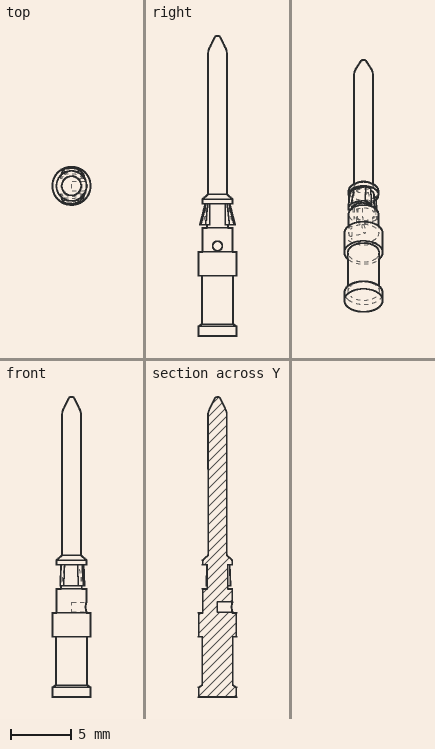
import cadquery as cq

foot_rim_top = 0.8
foot_cone_top = 1.0
collar_bottom = 5.0
collar_top = 7.0
body_top = 9.0
barb_bottom = 9.25
ring_bottom = 11.0
ring_rim_top = 11.4
ring_cone_top = 11.8
nose_bottom = 23.72
nose_top = 24.8
overall_height = 25.0

collar_radius = 1.6
sleeve_radius = 1.3
body_radius = 1.25
neck_radius = 0.88
pin_radius = 0.8
nose_tip_radius = 0.28
nose_blend_radius = 1.0

pick_margin = 0.02

hole_diameter = 0.8
hole_height = 7.5

slot_half_width = 0.65
barb_inner_shift = 0.35
barb_root_outline = [
    (-0.88, slot_half_width), (-0.68, 0.88), (-0.58, 0.98), (-0.42, 1.0), (0.18, 1.02),
    (0.5, 0.95), (0.88, 0.8), (1.02, slot_half_width),
]
barb_end_outline = [
    (-0.95, slot_half_width), (-0.78, 1.18), (-0.65, 1.38), (-0.5, 1.42), (0.12, 1.48),
    (0.58, 1.38), (1.0, 1.0), (1.1, slot_half_width),
]


def make_turned_body():
    """Revolve the stepped contact, with a domed tip and a blended nose."""
    dome_height = overall_height - nose_top
    dome_radius = (nose_tip_radius**2 + dome_height**2) / (2 * dome_height)
    profile = (
        cq.Workplane("XZ")
        .moveTo(0, 0)
        .lineTo(collar_radius, 0)
        .lineTo(collar_radius, foot_rim_top)
        .lineTo(sleeve_radius, foot_cone_top)
        .lineTo(sleeve_radius, collar_bottom)
        .lineTo(collar_radius, collar_bottom)
        .lineTo(collar_radius, collar_top)
        .lineTo(body_radius, collar_top)
        .lineTo(body_radius, body_top)
        .lineTo(neck_radius, body_top)
        .lineTo(neck_radius, ring_bottom)
        .lineTo(body_radius, ring_bottom)
        .lineTo(body_radius, ring_rim_top)
        .lineTo(pin_radius, ring_cone_top)
        .lineTo(pin_radius, nose_bottom)
        .lineTo(nose_tip_radius, nose_top)
        .radiusArc((0, overall_height), -dome_radius)
        .close()
    )
    turned = profile.revolve(360, (0, 0), (0, 1))
    nose_zone = cq.selectors.BoxSelector(
        (-collar_radius, -collar_radius, nose_bottom - pick_margin),
        (collar_radius, collar_radius, nose_bottom + pick_margin),
    )
    return turned.edges(nose_zone).edges("%CIRCLE").fillet(nose_blend_radius)


def make_barb():
    """Loft the flared, faceted barb on the +Y side and hollow it beside the neck."""
    barb_height = ring_bottom - barb_bottom
    outer = (
        cq.Workplane("XY", origin=(0, 0, barb_bottom))
        .polyline(barb_end_outline).close()
        .workplane(offset=barb_height)
        .polyline(barb_root_outline).close()
        .loft(ruled=True)
    )
    inner = (
        cq.Workplane("XY", origin=(0, 0, barb_bottom))
        .center(0, barb_inner_shift)
        .circle(neck_radius)
        .workplane(offset=barb_height)
        .center(0, -barb_inner_shift)
        .circle(neck_radius)
        .loft(ruled=True)
    )
    return outer.cut(inner)


def make_inspection_hole():
    """Radial drill from the axis out through the +X side."""
    return (
        cq.Workplane("YZ")
        .center(0, hole_height)
        .circle(hole_diameter / 2)
        .extrude(collar_radius)
    )


barb = make_barb()
result = (
    make_turned_body()
    .cut(make_inspection_hole())
    .union(barb)
    .union(barb.mirror("XZ"))
)